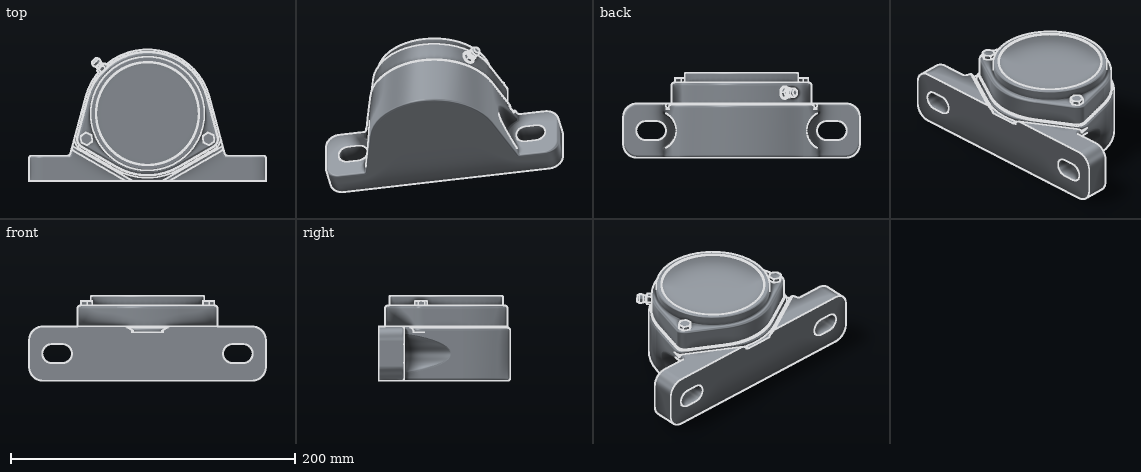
import cadquery as cq
import math


foot_length = 167.0
foot_depth = 18.0
foot_height = 38.4
foot_corner_radius = 10.0
foot_blend_radius = 1.7
rear_edge_radius = 1.8

slot_spacing = 127.3
slot_length = 20.7
slot_width = 13.2
slot_z = foot_height / 2

bearing_y = 47.6
barrel_radius = 45.3
side_angle = 15.0
lower_angle = 60.0
corner_angle = (side_angle - lower_angle) / 2

trough_floor_z = 34.2
trough_offset = 46.3
trough_chamfer_width = 2.5
trough_chamfer_depth = 3.2
trough_reach = 100.2

boss_top_z = 37.4
boss_edge_radius = 1.8

pocket_radius = 13.9
pocket_edge_radius = 1.8
pocket_x = slot_spacing / 2 - (slot_length - slot_width) / 2
pocket_length = 41.8

cover_radius = 43.3
cover_corner_radius = 6.3
cover_top_z = 53.1
cover_edge_radius = 2.0
cover_skirt_height = 1.0
cover_skirt_width = 0.5
boss_margin = barrel_radius - cover_radius

ring_diameter = 80.2
ring_top_z = 60.0
ring_edge_radius = 1.0
ring_root_radius = 0.8
cap_diameter = 72.0
cap_thickness = 2.0
cap_lip_chamfer = 0.5
cap_top_z = ring_top_z - cap_lip_chamfer

bolt_head_corners = 9.0
bolt_head_top_diameter = 8.4
bolt_head_height = 3.2
bolt_head_turn = 35.0

nipple_angle = 135.0
nipple_z = 46.0
spotface_diameter = 9.0
nipple_seat = 43.0
nipple_hex_corners = 7.8
nipple_hex_turn = -5.0
nipple_hex_top = 46.5
nipple_shoulder_diameter = 6.5
nipple_shoulder_top = 47.5
nipple_neck_diameter = 5.0
nipple_neck_top = 49.0
nipple_collar_diameter = 5.5
nipple_head_diameter = 6.5
nipple_head_start = 50.8
nipple_head_end = 51.8
nipple_tip_diameter = 4.5
nipple_tip = 53.5


def polar(radius, angle, center=(0.0, 0.0)):
    """Point at a radius and an angle in degrees from a center."""
    turn = math.radians(angle)
    return (center[0] + radius * math.cos(turn), center[1] + radius * math.sin(turn))


def mirrored(point):
    """Mirror image of a point across the Y axis."""
    return (-point[0], point[1])


def corner_center():
    """Center of the cover's right-hand corner round, relative to the bearing axis."""
    half_spread = math.radians((side_angle + lower_angle) / 2)
    return polar((cover_radius - cover_corner_radius) / math.cos(half_spread), corner_angle)


bolt_point = corner_center()


def flange_outline(z, margin):
    """Cover outline grown by a margin: two arcs joined by tangents and two round corners."""
    radius = cover_radius + margin
    corner_radius = cover_corner_radius + margin
    upper = polar(radius, side_angle)
    lower = polar(radius, -lower_angle)
    corner_start = polar(corner_radius, side_angle, bolt_point)
    corner_middle = polar(corner_radius, corner_angle, bolt_point)
    corner_end = polar(corner_radius, -lower_angle, bolt_point)
    return (
        cq.Workplane("XY", origin=(0, bearing_y, z))
        .moveTo(*mirrored(upper))
        .threePointArc((0, radius), upper)
        .lineTo(*corner_start)
        .threePointArc(corner_middle, corner_end)
        .lineTo(*lower)
        .threePointArc((0, -radius), mirrored(lower))
        .lineTo(*mirrored(corner_end))
        .threePointArc(mirrored(corner_middle), mirrored(corner_start))
        .close()
    )


def make_pockets():
    """Cutter for the two pockets, each in line with the inner end of a slot."""
    return (
        cq.Workplane("XZ", origin=(0, foot_depth, slot_z))
        .pushPoints([(-pocket_x, 0), (pocket_x, 0)])
        .circle(pocket_radius)
        .extrude(-pocket_length)
    )


def round_pockets(body):
    """Round the rim of each pocket, then blend the pocket and the barrel side into the foot."""
    inner_x = pocket_x - pocket_radius
    body = body.edges("%ELLIPSE").fillet(pocket_edge_radius)
    for side in (-1, 1):
        root = cq.NearestToPointSelector((side * inner_x, foot_depth, slot_z))
        body = body.edges(root).fillet(foot_blend_radius)
    return body


def make_foot_and_barrel():
    """Foot and barrel with sloping sides, pockets and blends, rounded along the rear edges."""
    turn = math.radians(side_angle)
    upper_x, upper_y = polar(barrel_radius, side_angle, (0, bearing_y))
    root_x = (barrel_radius + (bearing_y - foot_depth) * math.sin(turn)) / math.cos(turn)
    half_length = foot_length / 2
    body = (
        cq.Workplane("XY")
        .moveTo(-upper_x, upper_y)
        .threePointArc((0, bearing_y + barrel_radius), (upper_x, upper_y))
        .lineTo(root_x, foot_depth)
        .lineTo(half_length, foot_depth)
        .lineTo(half_length, 0)
        .lineTo(-half_length, 0)
        .lineTo(-half_length, foot_depth)
        .lineTo(-root_x, foot_depth)
        .close()
        .extrude(foot_height)
    )
    body = round_pockets(body.cut(make_pockets()))
    body = body.edges("(<X or >X) and |Y").fillet(foot_corner_radius)
    rear_edge = cq.NearestToPointSelector((half_length, foot_depth, foot_height / 2))
    return body.edges(rear_edge).fillet(rear_edge_radius)


def trough_plan(z):
    """V-shaped plan whose two lower sides lie at the trough offset from the bearing axis."""
    apex_y = bearing_y - trough_offset / math.sin(math.radians(lower_angle))
    far_y = apex_y + trough_reach / math.tan(math.radians(lower_angle))
    return (
        cq.Workplane("XY", origin=(0, 0, z))
        .moveTo(0, apex_y)
        .lineTo(trough_reach, far_y)
        .lineTo(trough_reach, far_y + trough_reach)
        .lineTo(-trough_reach, far_y + trough_reach)
        .lineTo(-trough_reach, far_y)
        .close()
    )


def make_trough():
    """Cutter for the trough: upright at the floor, flared up to the top of the foot."""
    knee_z = foot_height - trough_chamfer_depth
    flare = math.degrees(math.atan2(trough_chamfer_width, trough_chamfer_depth))
    upright = trough_plan(trough_floor_z).extrude(knee_z - trough_floor_z)
    flared = trough_plan(knee_z).extrude(trough_chamfer_depth, taper=-flare)
    return upright.union(flared)


def make_housing():
    """Foot and barrel with the trough, the boss that carries the cover, and the slots."""
    body = make_foot_and_barrel().cut(make_trough())
    boss = flange_outline(trough_floor_z, boss_margin).extrude(boss_top_z - trough_floor_z)
    body = body.union(boss.faces(">Z").edges().fillet(boss_edge_radius))
    slots = (
        cq.Workplane("XZ", origin=(0, 0, slot_z))
        .pushPoints([(-slot_spacing / 2, 0), (slot_spacing / 2, 0)])
        .slot2D(slot_length, slot_width)
        .extrude(-foot_depth)
    )
    return body.cut(slots)


def nipple_plane():
    """Plane through the bearing axis whose normal points along the nipple."""
    direction = polar(1, nipple_angle)
    return cq.Plane(
        origin=(0, bearing_y, nipple_z),
        xDir=(-direction[1], direction[0], 0),
        normal=(direction[0], direction[1], 0),
    )


def make_cover():
    """Flange plate with a flared skirt, a raised ring, the cap recess and a nipple spotface."""
    plate = flange_outline(boss_top_z, 0).extrude(cover_top_z - boss_top_z)
    plate = plate.faces(">Z").edges().fillet(cover_edge_radius)
    flare = math.degrees(math.atan2(cover_skirt_width, cover_skirt_height))
    skirt = flange_outline(boss_top_z, cover_skirt_width).extrude(cover_skirt_height, taper=flare)
    cover = plate.union(skirt)

    ring = (
        cq.Workplane("XY", origin=(0, bearing_y, cover_top_z))
        .circle(ring_diameter / 2)
        .extrude(ring_top_z - cover_top_z)
    )
    cover = cover.union(ring.faces(">Z").edges().fillet(ring_edge_radius))
    ring_root = cq.NearestToPointSelector((0, bearing_y, cover_top_z))
    cover = cover.edges(ring_root).fillet(ring_root_radius)

    lip = (
        cq.Workplane("XY", origin=(0, bearing_y, cap_top_z))
        .circle(cap_diameter / 2)
        .extrude(cap_lip_chamfer, taper=-45)
    )
    cover = cover.cut(make_cap()).cut(lip)

    spotface = (
        cq.Workplane(nipple_plane())
        .workplane(offset=nipple_seat)
        .circle(spotface_diameter / 2)
        .extrude(nipple_tip - nipple_seat)
    )
    return cover.cut(spotface)


def make_cap():
    """Round cap that fills the recess in the ring."""
    return (
        cq.Workplane("XY", origin=(0, bearing_y, cap_top_z - cap_thickness))
        .circle(cap_diameter / 2)
        .extrude(cap_thickness)
    )


def make_bolt(side):
    """Chamfered hexagon head on a corner of the cover; side is -1 for left, 1 for right."""
    hexagon = (
        cq.Workplane("XY")
        .transformed(rotate=(0, 0, bolt_head_turn))
        .polygon(6, bolt_head_corners)
        .extrude(bolt_head_height)
    )
    cone = (
        cq.Workplane("XY")
        .circle(bolt_head_top_diameter / 2 + bolt_head_height)
        .extrude(bolt_head_height, taper=45)
    )
    place = (side * bolt_point[0], bearing_y + bolt_point[1], cover_top_z)
    return hexagon.intersect(cone).translate(place)


def make_nipple():
    """Hexagon base with a turned neck, collar and head."""
    plane = nipple_plane()
    base = (
        cq.Workplane(plane)
        .transformed(offset=(0, 0, nipple_seat), rotate=(0, 0, nipple_hex_turn))
        .polygon(6, nipple_hex_corners)
        .extrude(nipple_hex_top - nipple_seat)
    )
    stem_plane = cq.Plane(origin=plane.origin, xDir=plane.xDir, normal=-plane.yDir)
    stem = (
        cq.Workplane(stem_plane)
        .moveTo(0, nipple_hex_top)
        .lineTo(nipple_shoulder_diameter / 2, nipple_hex_top)
        .lineTo(nipple_neck_diameter / 2, nipple_shoulder_top)
        .lineTo(nipple_neck_diameter / 2, nipple_neck_top)
        .lineTo(nipple_collar_diameter / 2, nipple_neck_top)
        .lineTo(nipple_head_diameter / 2, nipple_head_start)
        .lineTo(nipple_head_diameter / 2, nipple_head_end)
        .lineTo(nipple_tip_diameter / 2, nipple_tip)
        .lineTo(0, nipple_tip)
        .close()
        .revolve(360, (0, 0, 0), (0, 1, 0))
    )
    return base.union(stem)


housing = make_housing()
cover = make_cover()
cap = make_cap()
bolts = [make_bolt(side) for side in (-1, 1)]
nipple = make_nipple()

result = cq.Compound.makeCompound(
    [housing.val(), cover.val(), cap.val(), *[bolt.val() for bolt in bolts], nipple.val()]
)